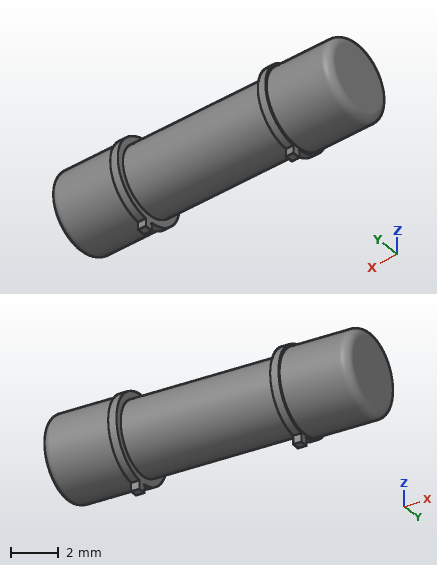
import cadquery as cq

length = 15.0
body_diameter = 3.5
cap_diameter = 4.0
cap_edge_radius = 0.4
collar_diameter = 4.2
collar_width = 0.4
collar_inner_face = 3.75
lead_width = 0.4
lead_drop = 2.5

cap_length = collar_inner_face - collar_width


def rod(start, rod_length, diameter):
    """Solid cylinder on the X axis, beginning at X = start."""
    return cq.Workplane("YZ", origin=(start, 0, 0)).circle(diameter / 2).extrude(rod_length)


def left_end():
    """Rounded end cap with its collar and the lead below the collar."""
    cap = rod(-length / 2, cap_length, cap_diameter).faces("<X").edges().fillet(cap_edge_radius)
    collar_start = -length / 2 + cap_length
    collar = rod(collar_start, collar_width, collar_diameter)
    lead = cq.Workplane("XY").box(
        collar_width, lead_width, lead_drop, centered=(False, True, False)
    ).translate((collar_start, 0, -lead_drop))
    return cap.union(collar).union(lead)


end = left_end()
body_length = length - 2 * cap_length
body = rod(-body_length / 2, body_length, body_diameter)
result = body.union(end).union(end.mirror("YZ"))